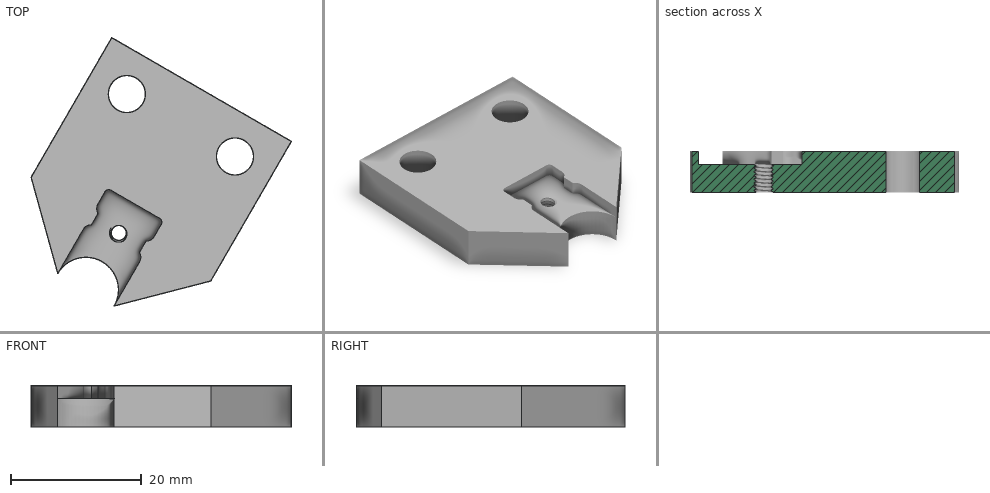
import cadquery as cq
import math

thickness = 6.35
plate_width = 31.75
plate_length = 35.4
side_length = 24.7
tilt = -30

nose_diameter = 9.95

mount_diameter = 5.63
mount_spacing = 19.1
mount_inset = 6.33

pocket_depth = 2.0
pocket_back = 20.3
pocket_corner_radius = 0.65
waist_width = 8.45
waist_length = 2.0
shoulder_radius = 1.4

screw_inset = 25.35
minor_diameter = 2.25
major_diameter = 2.85
pitch = 0.58
groove_mouth = 0.5
groove_root = 0.1
groove_overlap = 0.05
thread_end = 300

nose_half = nose_diameter / 2
pocket_floor = thickness - pocket_depth


def make_plate():
    half_width = plate_width / 2
    return (
        cq.Workplane("XY")
        .moveTo(-half_width, 0)
        .lineTo(half_width, 0)
        .lineTo(half_width, -side_length)
        .lineTo(nose_half, -plate_length)
        .threePointArc((0, nose_half - plate_length), (-nose_half, -plate_length))
        .lineTo(-half_width, -side_length)
        .close()
        .extrude(thickness)
    )


def make_mount_holes():
    return (
        cq.Workplane("XY")
        .pushPoints([(side * mount_spacing / 2, -mount_inset) for side in (-1, 1)])
        .circle(mount_diameter / 2)
        .extrude(thickness)
    )


def make_chamber(y_low, y_high, rounded_corners, radius):
    """Block of the pocket with the full width and the chosen corners rounded."""
    return (
        cq.Workplane("XY", origin=(0, (y_low + y_high) / 2, pocket_floor))
        .rect(nose_diameter, y_high - y_low)
        .extrude(pocket_depth)
        .edges("|Z")
        .edges(rounded_corners)
        .fillet(radius)
    )


def make_pocket():
    arc_across = shoulder_radius - (nose_diameter - waist_width) / 2
    arc_drop = math.sqrt(shoulder_radius**2 - arc_across**2)
    shoulder_offset = waist_length / 2 + arc_drop - shoulder_radius
    back_low = -screw_inset + shoulder_offset
    front_high = -screw_inset - shoulder_offset

    back = make_chamber(back_low, -pocket_back, "<Y", shoulder_radius)
    back = back.edges("|Z").edges(">Y").fillet(pocket_corner_radius)
    front = make_chamber(-plate_length, front_high, ">Y", shoulder_radius)
    waist = (
        cq.Workplane("XY", origin=(0, -screw_inset, pocket_floor))
        .rect(waist_width, waist_length + 2 * arc_drop)
        .extrude(pocket_depth)
    )
    return back.union(front).union(waist)


def cut_threaded_hole(body):
    minor_radius = minor_diameter / 2
    major_radius = major_diameter / 2
    bore = cq.Workplane("XY").circle(minor_radius).extrude(thickness)

    helix = cq.Wire.makeHelix(pitch, pocket_floor + 2 * pitch, minor_radius)
    thread_start = thread_end - 360 * pocket_floor / pitch
    groove_inner = minor_radius - groove_overlap
    groove = (
        cq.Workplane("XZ")
        .polyline(
            [
                (groove_inner, -groove_mouth / 2),
                (major_radius, -groove_root / 2),
                (major_radius, groove_root / 2),
                (groove_inner, groove_mouth / 2),
            ]
        )
        .close()
        .sweep(cq.Workplane(helix), isFrenet=True)
        .rotate((0, 0, 0), (0, 0, 1), thread_start)
        .translate((0, 0, -pitch))
    )
    groove = groove.intersect(cq.Workplane("XY").circle(major_diameter).extrude(pocket_floor))
    screw_place = (0, -screw_inset, 0)
    return body.cut(bore.translate(screw_place)).cut(groove.translate(screw_place))


body = make_plate().cut(make_mount_holes()).cut(make_pocket())
body = cut_threaded_hole(body)
result = body.rotate((0, 0, 0), (0, 0, 1), tilt)